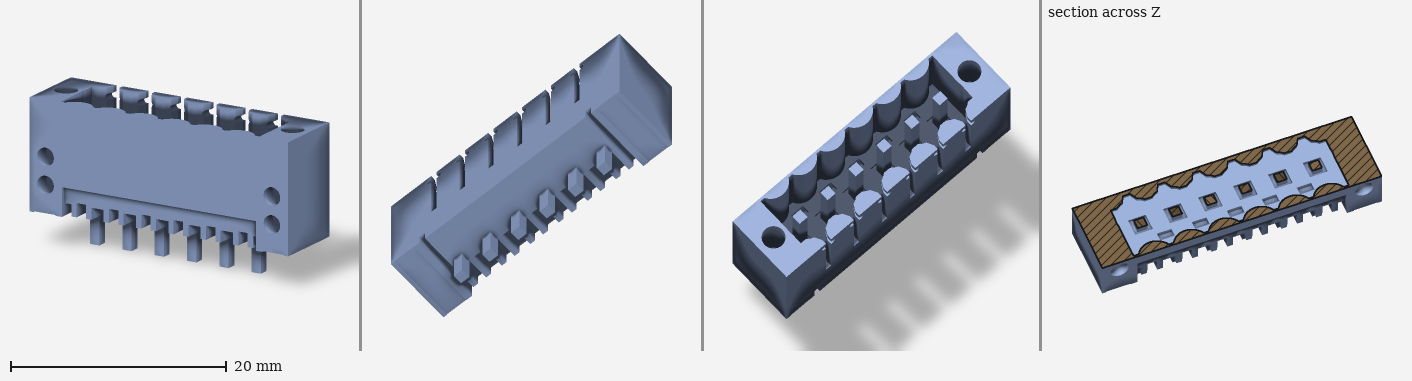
import cadquery as cq
import math


length = 28.0
depth = 7.45
height = 11.05
front = -depth / 2
back = depth / 2

contact_count = 6
pitch = 3.5
contact_y = -0.21
contact_xs = [(i - (contact_count - 1) / 2) * pitch for i in range(contact_count)]
between_xs = [x + pitch / 2 for x in contact_xs[:-1]]
mount_x = contact_xs[-1] + pitch

pin_width = 1.0
pin_top = height - 1.2
pin_bottom = -3.2
pin_front = contact_y - pin_width / 2

cavity_length = 21.5
cavity_front = -3.47
cavity_back = 2.13
cavity_floor = 3.65

scallop_radius = 2.05
scallop_y = 0.62
keyway_mouth_width = 1.4
keyway_width = 0.67
keyway_back = 3.22

slit_bottom = 4.2
window_length = 1.62
window_height = 0.62
window_z = height - 0.9

rib_radius = 1.75
rib_crest = -2.58

pin_pocket_width = 1.75
pin_pocket_depth = 0.28
ramp_pocket_length = 1.45
ramp_pocket_front = -2.58
ramp_pocket_back = -1.75
ramp_pocket_depth = 0.42

top_hole_diameter = 2.2
top_hole_depth = 5.6
front_hole_diameter = 1.8
front_hole_depth = 1.68
front_hole_zs = [2.83, 5.55]

recess_length = contact_count * pitch
recess_height = 2.88
recess_depth = 0.62
foot_row_front = front + recess_depth
foot_width = 2.15
foot_height = 1.18
foot_row_length = contact_xs[-1] - contact_xs[0] + foot_width
pin_groove_height = 1.37
end_groove_inner = 11.2
end_groove_outer = 13.58
end_groove_height = 0.08


def box(x_range, y_range, z_range):
    """Box spanning the given (low, high) pairs."""
    return (
        cq.Workplane("XY")
        .box(
            x_range[1] - x_range[0],
            y_range[1] - y_range[0],
            z_range[1] - z_range[0],
            centered=False,
        )
        .translate((x_range[0], y_range[0], z_range[0]))
    )


def around(center, width):
    """The (low, high) pair of a width centred on a place."""
    return (center - width / 2, center + width / 2)


def pin_box(x):
    return box(around(x, pin_width), around(contact_y, pin_width), (pin_bottom, pin_top))


def scallop(x):
    """Round scallop and tapered keyway in the rear cavity wall, down to the cavity floor."""
    cavity_depth = height - cavity_floor
    mouth_y = scallop_y + math.sqrt(scallop_radius**2 - (keyway_mouth_width / 2) ** 2)
    base = cq.Workplane("XY", origin=(x, 0, cavity_floor))
    bore = base.center(0, scallop_y).circle(scallop_radius).extrude(cavity_depth)
    keyway = (
        base.moveTo(-keyway_mouth_width / 2, scallop_y)
        .lineTo(-keyway_mouth_width / 2, mouth_y)
        .lineTo(-keyway_width / 2, keyway_back)
        .lineTo(keyway_width / 2, keyway_back)
        .lineTo(keyway_mouth_width / 2, mouth_y)
        .lineTo(keyway_mouth_width / 2, scallop_y)
        .close()
        .extrude(cavity_depth)
    )
    return bore.union(keyway)


def front_rib(x):
    """Round rib standing on the front cavity wall."""
    rib = (
        cq.Workplane("XY", origin=(x, rib_crest - rib_radius, cavity_floor))
        .circle(rib_radius)
        .extrude(height - cavity_floor)
    )
    in_cavity = box(around(x, pitch), (cavity_front, rib_crest), (cavity_floor, height))
    return rib.intersect(in_cavity)


def plug_cavity():
    cavity = box(around(0, cavity_length), (cavity_front, cavity_back), (cavity_floor, height))
    for x in contact_xs:
        cavity = cavity.cut(front_rib(x)).union(scallop(x))
    return cavity


def back_slit(x):
    """Slit with its round-ended window, cut through the back wall."""
    slit = box(around(x, keyway_width), (keyway_back, back), (slit_bottom, height))
    window = (
        cq.Workplane("XZ", origin=(x, back, window_z))
        .slot2D(window_length, window_height)
        .extrude(back - cavity_back)
    )
    return slit.union(window)


def pin_pocket(x):
    """Square sinking in the cavity floor around a pin."""
    return box(
        around(x, pin_pocket_width),
        around(contact_y, pin_pocket_width),
        (cavity_floor - pin_pocket_depth, cavity_floor),
    )


def ramp_pocket(x):
    """Floor pocket whose front half ramps down to a flat rear half."""
    pocket_bottom = cavity_floor - ramp_pocket_depth
    ramp_foot = (ramp_pocket_front + ramp_pocket_back) / 2
    return (
        cq.Workplane("YZ", origin=(x - ramp_pocket_length / 2, 0, 0))
        .moveTo(ramp_pocket_front, cavity_floor)
        .lineTo(ramp_foot, pocket_bottom)
        .lineTo(ramp_pocket_back, pocket_bottom)
        .lineTo(ramp_pocket_back, cavity_floor)
        .close()
        .extrude(ramp_pocket_length)
    )


def mount_holes(side):
    """Blind holes at one end: one from the top, two from the front."""
    x = side * mount_x
    holes = (
        cq.Workplane("XY", origin=(x, 0, height))
        .circle(top_hole_diameter / 2)
        .extrude(-top_hole_depth)
    )
    for z in front_hole_zs:
        hole = (
            cq.Workplane("XZ", origin=(x, front, z))
            .circle(front_hole_diameter / 2)
            .extrude(-front_hole_depth)
        )
        holes = holes.union(hole)
    return holes


def foot_row_clearance():
    """Space under the housing: a front recess, and a channel at each end of the foot row."""
    clearance = box(around(0, recess_length), (front, foot_row_front), (0, recess_height))
    channels = box(around(0, recess_length), (foot_row_front, back), (0, foot_height))
    foot_row = box(around(0, foot_row_length), (foot_row_front, back), (0, foot_height))
    return clearance.union(channels.cut(foot_row))


def foot_gap(x):
    """Gap between two neighbouring feet, as deep as the pins' front faces."""
    return box(around(x, pitch - foot_width), (foot_row_front, pin_front), (0, foot_height))


def pin_groove(x):
    """Groove that opens a foot from the front up to its pin."""
    return box(around(x, pin_width), (foot_row_front, pin_front), (0, pin_groove_height))


def end_groove(side):
    """Shallow groove across the underside of one end."""
    x_range = sorted((side * end_groove_inner, side * end_groove_outer))
    return box(x_range, (front, back), (0, end_groove_height))


def make_housing():
    housing = box(around(0, length), (front, back), (0, height))
    housing = housing.cut(plug_cavity()).cut(foot_row_clearance())
    for x in contact_xs:
        housing = housing.cut(back_slit(x)).cut(pin_pocket(x)).cut(pin_groove(x)).cut(pin_box(x))
    for x in between_xs:
        housing = housing.cut(ramp_pocket(x)).cut(foot_gap(x))
    for side in (-1, 1):
        housing = housing.cut(mount_holes(side)).cut(end_groove(side))
    return housing


housing = make_housing()
pins = [pin_box(x) for x in contact_xs]

result = cq.Compound.makeCompound([housing.val(), *[pin.val() for pin in pins]])